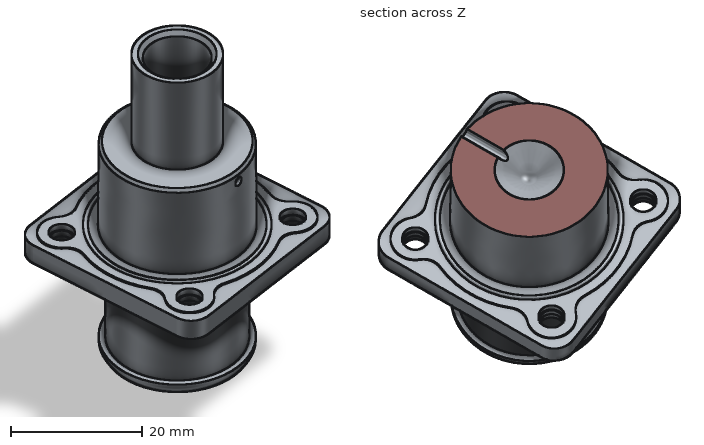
import cadquery as cq
import math

total_height = 57.1
lip_top = 2.2
flange_bottom = 20.1
flange_top = 23.65
pad_top = 23.85
bead_top = 24.15
body_top = 40.15

spigot_diameter = 22.0
lip_diameter = 24.0
lip_cone_height = 1.35
lip_cone_angle = 30.0
lip_side_fillet = 0.95
lip_bottom_fillet = 0.7

flange_side = 35.0
flange_corner_radius = 3.5
pad_disc_radius = 16.0
pad_ear_radius = 3.75
pad_blend_radius = 2.95
bead_center_radius = 14.0
bead_radius = 0.4

body_bottom_diameter = 24.2
body_top_diameter = 24.0
body_chamfer = 0.5
tube_diameter = 14.0

bore_diameter = 10.5
bore_chamfer = 0.75
drill_point_angle = 118.0
bore_floor_rim = 38.25
vent_diameter = 1.5

mount_offset = 12.5
mount_top_diameter = 4.0
mount_collar_diameter = 3.7
mount_bottom_diameter = 4.3
collar_top = pad_top - 1.2
collar_bottom = pad_top - 2.3


def cylinder(diameter, bottom, top):
    """Vertical cylinder on the part axis."""
    return cq.Workplane("XY").workplane(offset=bottom).circle(diameter / 2).extrude(top - bottom)


def revolved(points):
    """Solid of revolution about Z from (radius, height) points."""
    return cq.Workplane("XZ").polyline(points).close().revolve(360, (0, 0, 0), (0, 1, 0))


def polar(radius, degrees):
    """Point at the given distance and direction from the part axis."""
    angle = math.radians(degrees)
    return (radius * math.cos(angle), radius * math.sin(angle))


def step_toward(start, target, distance):
    """Point reached by moving from start toward target."""
    share = distance / math.dist(start, target)
    return tuple(a + share * (b - a) for a, b in zip(start, target))


def make_spigot():
    lip_radius = lip_diameter / 2
    foot_radius = lip_radius - lip_cone_height * math.tan(math.radians(lip_cone_angle))
    lip_section = [
        (0, 0),
        (foot_radius, 0),
        (lip_radius, lip_cone_height),
        (lip_radius, lip_top),
        (0, lip_top),
    ]
    lip = revolved(lip_section)
    lip = lip.faces("<Z").edges().fillet(lip_bottom_fillet)
    lip = lip.edges(cq.NearestToPointSelector((0, 0, lip_cone_height))).fillet(lip_side_fillet)
    return lip.union(cylinder(spigot_diameter, lip_top, flange_bottom))


def make_flange():
    return (
        cq.Workplane("XY")
        .workplane(offset=flange_bottom)
        .rect(flange_side, flange_side)
        .extrude(flange_top - flange_bottom)
        .edges("|Z")
        .fillet(flange_corner_radius)
    )


def make_pad():
    """Disc with an ear around each mounting hole, joined by concave blends."""
    ear_distance = mount_offset * math.sqrt(2)
    blend_distance = pad_disc_radius + pad_blend_radius
    ear_to_blend = pad_ear_radius + pad_blend_radius
    cosine = (ear_distance**2 + blend_distance**2 - ear_to_blend**2) / (2 * ear_distance * blend_distance)
    blend_angle = math.degrees(math.acos(cosine))

    def blend_points(angle, ear_center):
        """Disc end, middle and ear end of the blend arc centered at the given angle."""
        center = polar(blend_distance, angle)
        disc_end = polar(pad_disc_radius, angle)
        ear_end = step_toward(center, ear_center, pad_blend_radius)
        chord_middle = step_toward(disc_end, ear_end, math.dist(disc_end, ear_end) / 2)
        return disc_end, step_toward(center, chord_middle, pad_blend_radius), ear_end

    outline = cq.Workplane("XY").workplane(offset=flange_top).moveTo(*polar(pad_disc_radius, blend_angle - 45))
    for ear_angle in (45, 135, 225, 315):
        ear_center = polar(ear_distance, ear_angle)
        disc_middle = polar(pad_disc_radius, ear_angle - 45)
        ear_tip = polar(ear_distance + pad_ear_radius, ear_angle)
        disc_end, entry_middle, ear_start = blend_points(ear_angle - blend_angle, ear_center)
        disc_start, exit_middle, ear_end = blend_points(ear_angle + blend_angle, ear_center)
        outline = (
            outline.threePointArc(disc_middle, disc_end)
            .threePointArc(entry_middle, ear_start)
            .threePointArc(ear_tip, ear_end)
            .threePointArc(exit_middle, disc_start)
        )
    return outline.close().extrude(pad_top - flange_top)


def make_bead():
    """Sealing ring whose rounded crest stands above the pad."""
    center = cq.Vector(0, 0, bead_top - bead_radius)
    return cq.Workplane(cq.Solid.makeTorus(bead_center_radius, bead_radius, center))


def make_body():
    """Slightly tapered body, chamfered at its top edge, with the tube above it."""
    body_section = [
        (0, pad_top),
        (body_bottom_diameter / 2, pad_top),
        (body_top_diameter / 2, body_top - body_chamfer),
        (body_top_diameter / 2 - body_chamfer, body_top),
        (0, body_top),
    ]
    return revolved(body_section).union(cylinder(tube_diameter, body_top, total_height))


def make_bore():
    """Chamfered bore cavity with a conical floor."""
    bore_radius = bore_diameter / 2
    point_depth = bore_radius / math.tan(math.radians(drill_point_angle / 2))
    bore_section = [
        (0, bore_floor_rim - point_depth),
        (bore_radius, bore_floor_rim),
        (bore_radius, total_height - bore_chamfer),
        (bore_radius + bore_chamfer, total_height),
        (0, total_height),
    ]
    return revolved(bore_section)


def make_vent():
    """Radial hole from the rim of the bore floor out through the +X side of the body."""
    return (
        cq.Workplane("YZ")
        .center(0, bore_floor_rim)
        .circle(vent_diameter / 2)
        .extrude(body_bottom_diameter / 2)
    )


def make_mounting_hole():
    """Stepped hole cavity on the part axis, ready to be moved into a corner."""
    hole = cylinder(mount_top_diameter, collar_top, pad_top)
    hole = hole.union(cylinder(mount_collar_diameter, collar_bottom, collar_top))
    return hole.union(cylinder(mount_bottom_diameter, flange_bottom, collar_bottom))


result = (
    make_spigot()
    .union(make_flange())
    .union(make_pad())
    .union(make_bead())
    .union(make_body())
    .cut(make_bore())
    .cut(make_vent())
)
for x_side in (-1, 1):
    for y_side in (-1, 1):
        hole = make_mounting_hole().translate((x_side * mount_offset, y_side * mount_offset, 0))
        result = result.cut(hole)